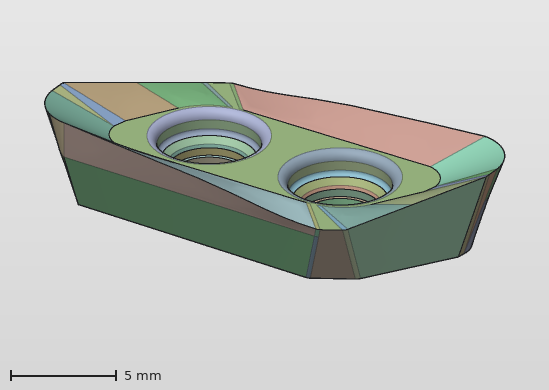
import cadquery as cq
import math


peak_height = 5.0
floor_height = 3.56
seam_height = 3.04

half_length = 11.0
half_width = 5.13
nose_top = (-half_length, -1.45, peak_height)
nose_facet_start = (-half_length, -1.74, peak_height)
nose_arc_start = (-half_length, -2.42, peak_height)
nose_arc_middle = (-10.32, -4.05, peak_height)
nose_arc_end = (-8.73, -4.86, peak_height)
rim_crest = (-6.6, -4.95, 4.82)
rim_slope = (-3.3, -5.02, 4.53)
rim_middle = (0.0, -5.08, 4.22)
rim_descent = (3.76, -half_width, 3.67)
bevel_start = (5.76, -half_width, floor_height)
bevel_end = (6.89, -4.47, floor_height)

base_nose_top = (-9.17, -1.83, 0)
base_nose_arc_start = (-9.22, -2.25, 0)
base_nose_arc_middle = (-9.17, -2.93, 0)
base_nose_arc_end = (-8.8, -3.52, 0)
base_bevel_start = (4.38, -3.85, 0)
base_bevel_end = (6.42, -2.65, 0)

seam_nose_end = (-8.87, -4.66, seam_height)

bevel_start_round = 0.1
bevel_end_round = 0.13

end_rim_fraction = 0.48

floor_half_width = 3.12
floor_nose_top = (-7.88, -0.84, floor_height)
floor_nose_upper = (-8.05, -1.58, floor_height)
floor_nose_middle = (-7.68, -2.55, floor_height)
floor_nose_end = (-6.75, -floor_half_width, floor_height)
floor_long_end = (3.8, -floor_half_width, floor_height)
floor_bevel_start = (4.03, -floor_half_width, floor_height)
floor_bevel_end = (4.38, -3.08, floor_height)
floor_corner_start = (4.58, -3.01, floor_height)
floor_corner_middle = (5.75, -2.45, floor_height)
floor_corner_end = (6.5, -1.6, floor_height)

hole_x = 3.75
hole_y = -0.07
mouth_radius = 3.0
wall_radius = 2.49
seat_top_radius = 2.27
shoulder_radius = 1.98
neck_radius = 1.9
bore_radius = 1.74
relief_radius = 2.53
lip_depth = 0.46
seat_depth = 0.95
cone_depth = 1.19
shoulder_depth = 1.5
neck_depth = 1.65
step_depth = 2.05
bore_depth = 2.07
relief_depth = 2.68

seat_bulge = 0.05


def between(start, end, fraction):
    """Point at a given fraction of the way from start to end."""
    return tuple(a + (b - a) * fraction for a, b in zip(start, end))


def half_turn(point):
    x, y, z = point
    return (-x, -y, z)


def line(start, end):
    return cq.Edge.makeLine(cq.Vector(*start), cq.Vector(*end))


def arc(start, middle, end):
    return cq.Edge.makeThreePointArc(cq.Vector(*start), cq.Vector(*middle), cq.Vector(*end))


def corner_round(before, corner, after, reach):
    """Start, middle and end of a small rounding that replaces a corner."""
    start = between(corner, before, reach / math.dist(corner, before))
    end = between(corner, after, reach / math.dist(corner, after))
    middle = between(between(start, end, 0.5), corner, 0.5)
    return start, middle, end


def curve(*points):
    return cq.Edge.makeSpline([cq.Vector(*p) for p in points])


seam_fraction = seam_height / peak_height
seam_nose_start = between(base_nose_arc_start, nose_arc_start, seam_fraction)
seam_nose_middle = between(base_nose_arc_middle, nose_arc_middle, seam_fraction)
next_nose_top = half_turn(nose_top)
base_next_nose_top = half_turn(base_nose_top)
rim_turn = corner_round(rim_descent, bevel_start, bevel_end, bevel_start_round)
rim_heel = corner_round(bevel_start, bevel_end, next_nose_top, bevel_end_round)
base_turn = corner_round(base_nose_arc_end, base_bevel_start, base_bevel_end, bevel_start_round)
base_heel = corner_round(base_bevel_start, base_bevel_end, base_next_nose_top, bevel_end_round)
seam_turn = [between(low, high, seam_height / floor_height) for low, high in zip(base_turn, rim_turn)]
end_rim_split = between(bevel_end, next_nose_top, end_rim_fraction)

nose_rim_flat = line(nose_top, nose_facet_start)
nose_rim = arc(nose_arc_start, nose_arc_middle, nose_arc_end)
long_rim = curve(nose_arc_end, rim_crest, rim_slope, rim_middle, rim_descent, rim_turn[0])
turn_rim = arc(*rim_turn)
bevel_rim = line(rim_turn[-1], rim_heel[0])
heel_rim = arc(*rim_heel)
end_rim = line(rim_heel[-1], next_nose_top)
end_rim_low = line(rim_heel[-1], end_rim_split)
end_rim_high = line(end_rim_split, next_nose_top)

base_nose_flat = line(base_nose_top, base_nose_arc_start)
base_nose = arc(base_nose_arc_start, base_nose_arc_middle, base_nose_arc_end)
base_long = line(base_nose_arc_end, base_turn[0])
turn_base = arc(*base_turn)
base_bevel = line(base_turn[-1], base_heel[0])
heel_base = arc(*base_heel)
base_end = line(base_heel[-1], base_next_nose_top)

seam_nose = arc(seam_nose_start, seam_nose_middle, seam_nose_end)
seam_long = line(seam_nose_end, seam_turn[0])
turn_seam = arc(*seam_turn)

floor_nose_flat = line(floor_nose_top, floor_nose_upper)
floor_nose = arc(floor_nose_upper, floor_nose_middle, floor_nose_end)
floor_long = line(floor_nose_end, floor_long_end)
floor_turn = line(floor_long_end, floor_bevel_start)
floor_bevel = line(floor_bevel_start, floor_bevel_end)
floor_heel = line(floor_bevel_end, floor_corner_start)
floor_corner = arc(floor_corner_start, floor_corner_middle, floor_corner_end)
floor_end = line(floor_corner_end, half_turn(floor_nose_top))

base_outline = [
    base_nose_flat,
    base_nose,
    base_long,
    turn_base,
    base_bevel,
    heel_base,
    base_end,
]
floor_outline = [
    floor_nose_flat,
    floor_nose,
    floor_long,
    floor_turn,
    floor_bevel,
    floor_heel,
    floor_corner,
    floor_end,
]

wall_edges = [
    (base_nose_flat, nose_rim_flat),
    (base_nose, seam_nose),
    (seam_nose, nose_rim),
    (base_long, seam_long),
    (seam_long, long_rim),
    (turn_base, turn_seam),
    (turn_seam, turn_rim),
    (base_bevel, bevel_rim),
    (heel_base, heel_rim),
    (base_end, end_rim),
    (floor_nose_flat, nose_rim_flat),
    (floor_nose, nose_rim),
    (floor_long, long_rim),
    (floor_turn, turn_rim),
    (floor_bevel, bevel_rim),
    (floor_heel, heel_rim),
    (floor_corner, end_rim_low),
    (floor_end, end_rim_high),
]


def turned(shape):
    return shape.rotate(cq.Vector(0, 0, 0), cq.Vector(0, 0, 1), 180)


def triangle(*corners):
    return cq.Face.makeFromWires(cq.Wire.makePolygon([cq.Vector(*p) for p in corners], close=True))


def flat_face(half_outline):
    """Flat face bounded by half an outline and its half-turned copy."""
    edges = half_outline + [turned(edge) for edge in half_outline]
    return cq.Face.makeFromWires(cq.Wire.assembleEdges(edges))


def make_body():
    half_walls = [cq.Face.makeRuledSurface(low, high) for low, high in wall_edges]
    half_walls += [
        triangle(nose_facet_start, nose_arc_start, base_nose_arc_start),
        triangle(nose_facet_start, nose_arc_start, floor_nose_upper),
    ]
    walls = half_walls + [turned(wall) for wall in half_walls]
    base = flat_face(base_outline)
    floor = flat_face(floor_outline)
    return cq.Solid.makeSolid(cq.Shell.makeShell(walls + [base, floor]))


def make_hole_cutter():
    """Stepped screw hole about Z, with its mouth level with the floor."""
    lip_middle = (
        mouth_radius - (mouth_radius - wall_radius) * math.sin(math.pi / 4),
        floor_height - lip_depth * (1 - math.cos(math.pi / 4)),
    )
    seat_middle = (
        (wall_radius + seat_top_radius) / 2 + seat_bulge,
        floor_height - (seat_depth + cone_depth) / 2 - seat_bulge,
    )
    return (
        cq.Workplane("XZ")
        .moveTo(0, 0)
        .lineTo(0, peak_height)
        .lineTo(mouth_radius, peak_height)
        .lineTo(mouth_radius, floor_height)
        .threePointArc(lip_middle, (wall_radius, floor_height - lip_depth))
        .lineTo(wall_radius, floor_height - seat_depth)
        .threePointArc(seat_middle, (seat_top_radius, floor_height - cone_depth))
        .lineTo(shoulder_radius, floor_height - shoulder_depth)
        .lineTo(neck_radius, floor_height - neck_depth)
        .lineTo(neck_radius, floor_height - step_depth)
        .lineTo(bore_radius, floor_height - bore_depth)
        .lineTo(bore_radius, floor_height - relief_depth)
        .lineTo(relief_radius, 0)
        .close()
        .revolve(360, (0, 0, 0), (0, 1, 0))
    )


body = cq.Workplane("XY").newObject([make_body()])
cutter = make_hole_cutter()
for side in (1, -1):
    body = body.cut(cutter.translate((side * hole_x, side * hole_y, 0)))
result = body